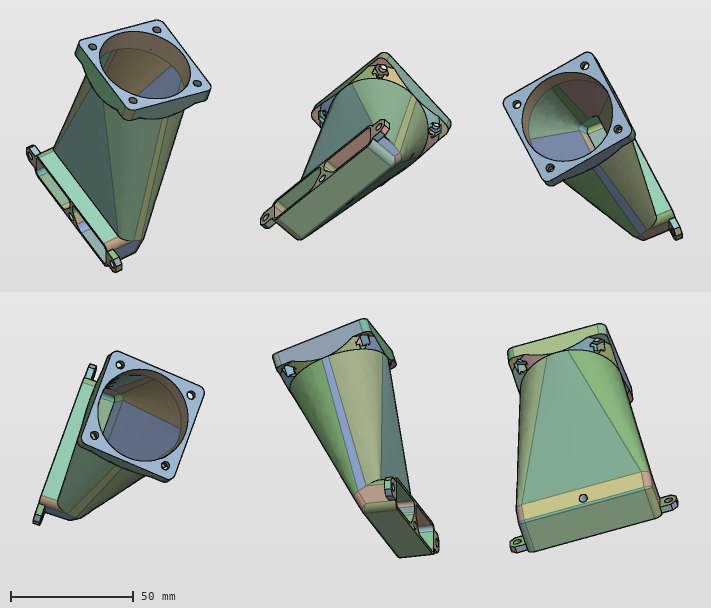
import cadquery as cq
import math

depth = 55.1
height = 87.6

inlet_width = 57.1
inlet_height = 13.75
inlet_radius = 3.1
heel_radius = 1.1
wall = 1.1
elbow_angle = math.radians(29.5)
elbow_top_y = 7.1
elbow_length = 13.2

side_arc = math.radians(4)
long_arc = math.radians(12)

web_neck = 2.1
web_foot = 11.6
web_neck_z = 7.7
web_neck_radius = 1.75
web_foot_radius = 4.4
web_hole_z = 2.9
screw_diameter = 3.3

ear_span = 70.8
ear_thickness = 2.8
ear_height = 8.2
ear_chamfer = 2.2
ear_z = 7.4
ear_hole_spacing = 64.45

flange_size = 41.95
flange_tilt = math.radians(17)
flange_radius = 3.0
flange_thickness = 6.0
collar_depth = 10.0
bore_diameter = 38.2
flange_hole_spacing = 31.9
nut_flats = 5.9
nut_ceiling = 3.0
nut_floor = 8.5

flange_plane = cq.Plane(
    origin=(
        0,
        depth - flange_size / 2 * math.cos(flange_tilt),
        height - flange_size / 2 * math.sin(flange_tilt),
    ),
    xDir=(1, 0, 0),
    normal=(0, math.sin(flange_tilt), math.cos(flange_tilt)),
)


def flange_level(below_face):
    """Workplane parallel to the flange face, the given distance below it."""
    return cq.Workplane(flange_plane).workplane(offset=-below_face)


def elbow_block(inset):
    """Inlet from the open front to the elbow plane, with its walls moved in by inset."""
    length = elbow_length - inset
    back_y = elbow_top_y + length * math.cos(elbow_angle)
    back_z = inlet_height - length * math.sin(elbow_angle)
    heel_y = back_y - (back_z - inset) * math.tan(elbow_angle)
    roof_y = elbow_top_y + inset / math.tan(elbow_angle)
    half_width = inlet_width / 2 - inset
    block = (
        cq.Workplane("YZ")
        .polyline([
            (0, inset),
            (heel_y, inset),
            (back_y, back_z),
            (roof_y, inlet_height - inset),
            (0, inlet_height - inset),
        ])
        .close()
        .extrude(half_width, both=True)
    )
    back_normal = cq.Vector(0, math.cos(elbow_angle), -math.sin(elbow_angle))
    back_edges = block.faces(cq.DirectionMinMaxSelector(back_normal, True)).edges("(not >Z) and (not <Z)")
    return block.edges("|Y").add(back_edges).fillet(inlet_radius - inset)


def outlet_circle(radius):
    """Round end of the duct, split into arcs that face the sides and corners of the inlet."""

    def rim(angle):
        return radius * math.cos(angle), radius * math.sin(angle)

    ends = [side_arc, math.pi / 2 - long_arc, math.pi / 2 + long_arc, math.pi - side_arc]
    ends += [angle + math.pi for angle in ends]
    start = -side_arc
    outline = flange_level(collar_depth).moveTo(*rim(start))
    for end in ends:
        outline = outline.threePointArc(rim((start + end) / 2), rim(end))
        start = end
    return outline.wire().val()


def duct(inlet_block, outlet_diameter):
    """Straight-ruled transition from the elbow face of a block to the round outlet."""
    elbow_normal = cq.Vector(0, math.sin(elbow_angle), math.cos(elbow_angle))
    inlet_wire = inlet_block.faces(cq.DirectionMinMaxSelector(elbow_normal, True)).val().outerWire()
    outlet_wire = outlet_circle(outlet_diameter / 2)
    return cq.Workplane(cq.Solid.makeLoft([inlet_wire, outlet_wire], True))


def inlet_openings():
    """Two front openings, leaving the web between them uncut."""
    floor_z = wall
    roof_z = inlet_height - wall
    opening = (
        cq.Workplane("XZ")
        .polyline([
            (web_neck / 2, roof_z),
            (web_neck / 2, web_neck_z),
            (web_foot / 2, floor_z),
            (inlet_width / 2, floor_z),
            (inlet_width / 2, roof_z),
        ])
        .close()
        .extrude(-depth)
    )
    foot_edge = cq.NearestToPointSelector((web_foot / 2, depth / 2, floor_z))
    rounded = (
        opening.faces("<X").edges("|Y").fillet(web_neck_radius)
        .edges(foot_edge).fillet(web_foot_radius)
    )
    return rounded.union(rounded.mirror("YZ"))


def ears():
    """Plate across the inlet mouth; its chamfered ends stand out as drilled ears."""
    plate = (
        cq.Workplane("XZ")
        .center(0, ear_z)
        .rect(ear_span, ear_height)
        .extrude(-ear_thickness)
        .edges("|Y")
        .chamfer(ear_chamfer)
    )
    holes = (
        cq.Workplane("XZ")
        .center(0, ear_z)
        .rarray(ear_hole_spacing, 0.9, 2, 1)
        .circle(screw_diameter / 2)
        .extrude(-ear_thickness)
    )
    return plate.cut(holes)


def flange():
    """Square plate whose underside narrows as a 45 degree cone to the round duct."""
    square = (
        flange_level(collar_depth)
        .rect(flange_size, flange_size)
        .extrude(collar_depth)
        .edges(cq.ParallelDirSelector(flange_plane.zDir))
        .fillet(flange_radius)
    )
    cone_height = collar_depth - flange_thickness
    cone = (
        flange_level(collar_depth)
        .circle(flange_size / 2)
        .workplane(offset=cone_height)
        .circle(flange_size / 2 + cone_height)
        .loft()
    )
    plate = flange_level(flange_thickness).rect(flange_size, flange_size).extrude(flange_thickness)
    return square.intersect(cone.union(plate))


def flange_screws():
    """Screw holes with hexagonal nut pockets that rise into the plate."""
    screws = (
        flange_level(collar_depth)
        .rarray(flange_hole_spacing, flange_hole_spacing, 2, 2)
        .circle(screw_diameter / 2)
        .extrude(collar_depth)
    )
    for quarter in range(4):
        nut = (
            flange_level(nut_floor)
            .transformed(rotate=(0, 0, 45 + 90 * quarter))
            .center(flange_hole_spacing / math.sqrt(2), 0)
            .polygon(6, nut_flats, circumscribed=True)
            .extrude(nut_floor - nut_ceiling)
        )
        screws = screws.union(nut)
    return screws


outer_block = elbow_block(0).faces("<Z").edges(">Y").fillet(heel_radius)
inner_block = elbow_block(wall)
body = outer_block.union(duct(outer_block, flange_size)).union(flange()).union(ears())

bore = flange_level(collar_depth).circle(bore_diameter / 2).extrude(collar_depth)
web_hole = cq.Workplane("XZ").center(0, web_hole_z).circle(screw_diameter / 2).extrude(-depth)

result = (
    body
    .cut(inner_block.intersect(inlet_openings()))
    .cut(duct(inner_block, bore_diameter))
    .cut(bore)
    .cut(web_hole)
    .cut(flange_screws())
)